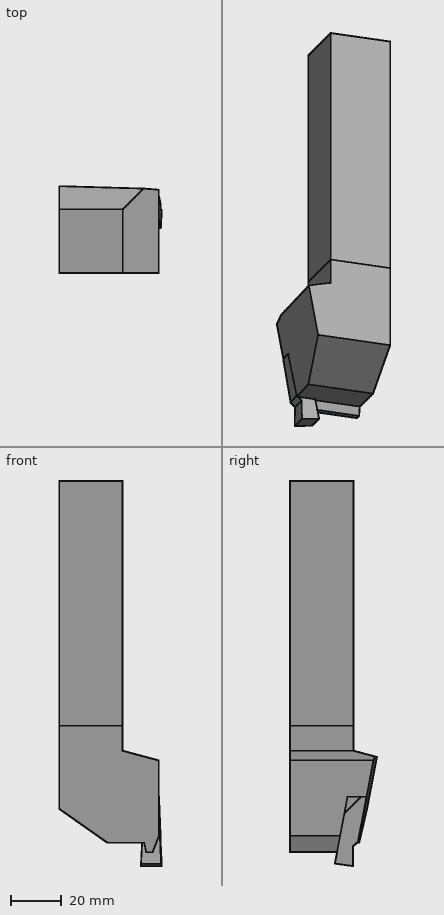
import cadquery as cq
import math

total_height = 152.4
shank_width = 25.1
shank_bottom = 55.6

head_width = 39.5
shoulder_top = 45.7
shoulder_drop = math.tan(math.radians(15))
head_bottom = 9.3
chamfer_top = 22.7
chamfer_end_x = 19.0
rear_foot_y = 26.2
rear_lean = 0.19
rear_taper = 0.03

toe_bottom = 5.6
toe_left_top = 33.7
toe_left_bottom = 34.5
toe_right_bottom = 37.0
toe_right_top_z = 12.0

insert_left = 32.3
insert_top = 27.5
insert_front_y = 17.5
rake_y = 25.0
tip_right = 40.7
side_clearance = 0.05
side_lean = 0.05
rake_top = 8.0
rake_ramp_run = 1.0
rake_ramp_rise = 0.9
end_relief = 1.0
margin = 7.6


def rear_y(x, z):
    return rear_foot_y + rear_lean * z - rear_taper * x


def square_bar(bottom, top):
    return cq.Workplane("XY").box(
        shank_width, shank_width, top - bottom, centered=False
    ).translate((0, 0, bottom))


def make_shank():
    return square_bar(shank_bottom, total_height)


def side_section(x):
    """YZ section of the head: rear shoulder above the leaning rear face."""
    shoulder_end_z = (
        (shoulder_top + shoulder_drop * (shank_width - rear_y(x, 0)))
        / (1 + shoulder_drop * rear_lean)
    )
    return [
        (0, 0),
        (rear_y(x, 0), 0),
        (rear_y(x, shoulder_end_z), shoulder_end_z),
        (shank_width, shoulder_top),
        (0, shoulder_top),
    ]


def make_head_blank():
    shoulder_end_z = shoulder_top - shoulder_drop * (head_width - shank_width)
    front_outline = [
        (0, shoulder_top),
        (shank_width, shoulder_top),
        (head_width, shoulder_end_z),
        (head_width, toe_right_top_z),
        (toe_right_bottom, toe_bottom),
        (toe_left_bottom, toe_bottom),
        (toe_left_top, head_bottom),
        (chamfer_end_x, head_bottom),
        (0, chamfer_top),
    ]
    depth = rear_y(0, shoulder_top)
    block = cq.Workplane("XZ").polyline(front_outline).close().extrude(-depth)
    envelope = (cq.Workplane("YZ").polyline(side_section(0)).close()
                .workplane(offset=head_width)
                .polyline(side_section(head_width)).close()
                .loft(ruled=True))
    neck = square_bar(shoulder_top, shank_bottom)
    return block.intersect(envelope).union(neck)


def blade_section(z):
    """XY section of the blade at height z."""
    left = insert_left + side_lean * z
    front = insert_front_y + rear_lean * z

    def right_x(y):
        return tip_right - side_lean * z - side_clearance * (rake_y - y)

    rear_right_y = rear_y(right_x(0), z) / (1 + rear_taper * side_clearance)
    return [
        (left, front),
        (right_x(front), front),
        (right_x(rear_right_y), rear_right_y),
        (left, rear_y(left, z)),
    ]


def make_blade():
    return (cq.Workplane("XY").polyline(blade_section(0)).close()
            .workplane(offset=insert_top)
            .polyline(blade_section(insert_top)).close()
            .loft(ruled=True))


def cut_along_x(body, outline):
    cutter = cq.Workplane("YZ").polyline(outline).close().extrude(head_width + margin)
    return body.cut(cutter)


def make_insert(blade):
    ramp_reach = margin * rake_ramp_rise / rake_ramp_run
    rake_outline = [
        (rake_y, 0),
        (rake_y, rake_top),
        (rake_y + margin, rake_top + ramp_reach),
        (rake_y + margin, 0),
    ]
    end_outline = [
        (rake_y, 0),
        (insert_front_y, 0),
        (insert_front_y, end_relief),
    ]
    return cut_along_x(cut_along_x(blade, rake_outline), end_outline)


blade = make_blade()
shank = make_shank()
head = make_head_blank().cut(blade)
insert = make_insert(blade)

result = cq.Compound.makeCompound([
    shank.val(),
    head.solids().val(),
    insert.solids().val(),
])